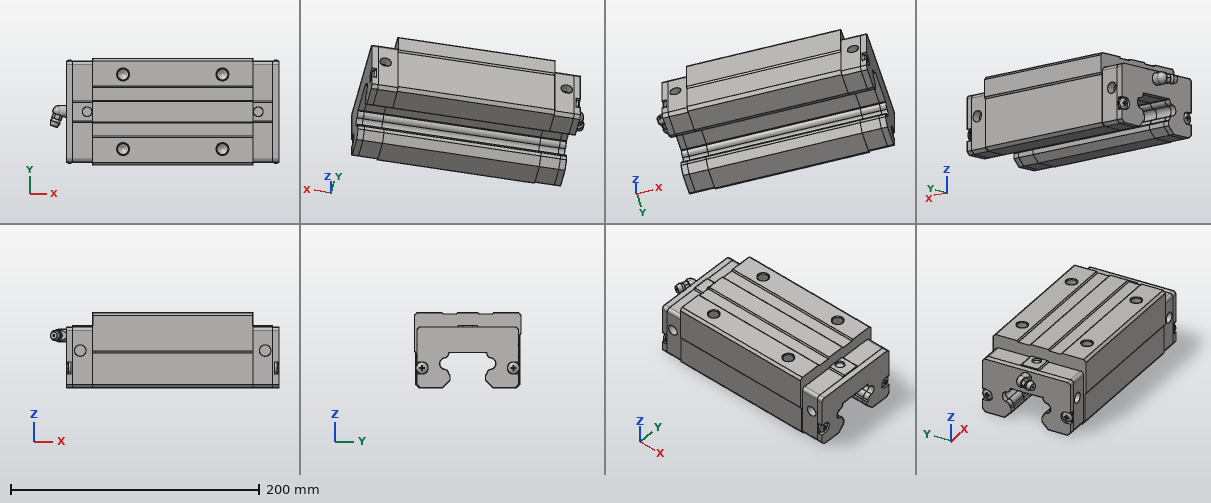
import cadquery as cq
import math


BLOCK_LENGTH = 128.9
BLOCK_HEIGHT = 60.5
UPPER_HALF_WIDTH = 86.0 / 2
LOWER_HALF_WIDTH = 83.8 / 2
TOP_CHAMFER = 2.2
BOTTOM_CHAMFER = 2.8
LEDGE_DROP = 1.5
FRONT_LEDGE_TOP = 29.6
BACK_LEDGE_TOP = 44.0
GROOVE_DEPTH = 1.1
GROOVE_INNER = 8.1
GROOVE_OUTER = 20.8

HOLE_PITCH_X = 79.9
HOLE_PITCH_Y = 60.0
HOLE_RADIUS = 4.5
HOLE_MOUTH_RADIUS = 5.2
HOLE_DEPTH = 16.5
DRILL_POINT_DEPTH = 2.5

CAP_THICKNESS = 16.0
SEAL_THICKNESS = 5.2
CAP_HALF_WIDTH = 81.5 / 2
CAP_HEIGHT = 49.0
CAP_TOP_FILLET = 3.0
PAD_HEIGHT = 1.1
PAD_HALF_WIDTH = 7.5
TOP_PORT_RADIUS = 3.9
TOP_PORT_DEPTH = 1.8
TOP_PORT_INSET = 4.5
SIDE_PORT_RADIUS = 4.6
SIDE_PORT_DEPTH = 7.4
SIDE_PORT_INSET = 10.0
SIDE_PORT_Z = 30.0

RAIL_ROOF = 28.4
ROOF_HALF_WIDTH = 14.5
GROOVE_Z = 19.5
GROOVE_HALF_WIDTH = 22.5
GROOVE_EDGE_Y = 19.3
GROOVE_HALF_MOUTH = 4.5
LAND_RADIUS = 4.0
LIP_HALF_WIDTH = 14.2
LIP_TOP = 10.1
FLARE_TOP = 6.0

SCREW_Y = 36.8
SCREW_Z = 16.0
HEAD_RADIUS = 4.8
HEAD_RIM = 1.8
DOME_HEIGHT = 1.75
POCKET_RADIUS = 5.0
CROSS_LENGTH = 3.7
CROSS_WIDTH = 0.5
CROSS_DEPTH = 1.0

NIPPLE_Z = 42.2
STEM_RADIUS = 10.1 / 2
STEM_LENGTH = 5.9
NIPPLE_ANGLE = 20.0
HEX_ACROSS_CORNERS = 8.0
SEAT_AT = 2.4
HEX_END = 6.3
COLLAR_AT = 8.7
TIP_AT = 12.5
NECK_RADIUS = 3.1
COLLAR_RADIUS = 8.3 / 2
TIP_RADIUS = 5.7 / 2
BORE_RADIUS = 0.65
BORE_DEPTH = 2.8

BLOCK_END = BLOCK_LENGTH / 2
CAP_END = BLOCK_END + CAP_THICKNESS
SEAL_END = CAP_END + SEAL_THICKNESS
POCKET_DEPTH = HEAD_RIM + DOME_HEIGHT


def along_x(profile, start, end):
    """Extrude a closed YZ profile between two X positions."""
    return profile.extrude(end - start).translate((start, 0, 0))


def rail_passage(start, end):
    mouth_top = GROOVE_Z + GROOVE_HALF_MOUTH
    mouth_bottom = GROOVE_Z - GROOVE_HALF_MOUTH
    land_half_width = GROOVE_EDGE_Y - LAND_RADIUS
    land_top = mouth_top + LAND_RADIUS
    land_bottom = mouth_bottom - LAND_RADIUS
    to_arc_middle = LAND_RADIUS * math.sqrt(0.5)
    land_middle_y = GROOVE_EDGE_Y - to_arc_middle
    half = (
        cq.Workplane("YZ")
        .moveTo(0, RAIL_ROOF)
        .lineTo(ROOF_HALF_WIDTH, RAIL_ROOF)
        .lineTo(land_half_width, land_top)
        .threePointArc((land_middle_y, land_top - to_arc_middle), (GROOVE_EDGE_Y, mouth_top))
        .threePointArc((GROOVE_HALF_WIDTH, GROOVE_Z), (GROOVE_EDGE_Y, mouth_bottom))
        .threePointArc((land_middle_y, land_bottom + to_arc_middle), (land_half_width, land_bottom))
        .lineTo(LIP_HALF_WIDTH, LIP_TOP)
        .lineTo(LIP_HALF_WIDTH, FLARE_TOP)
        .lineTo(LIP_HALF_WIDTH + FLARE_TOP, 0)
        .lineTo(0, 0)
        .close()
    )
    passage = along_x(half, start, end)
    return passage.union(passage.mirror("XZ"))


def top_groove():
    """Groove along the +Y half of the mounting face."""
    floor = BLOCK_HEIGHT - GROOVE_DEPTH
    profile = cq.Workplane("YZ").polyline([
        (GROOVE_INNER, BLOCK_HEIGHT),
        (GROOVE_INNER + GROOVE_DEPTH, floor),
        (GROOVE_OUTER - GROOVE_DEPTH, floor),
        (GROOVE_OUTER, BLOCK_HEIGHT),
    ]).close()
    return along_x(profile, -BLOCK_END, BLOCK_END)


def mounting_hole():
    """Blind hole with a countersunk mouth and a conical bottom, axis at the origin."""
    mouth_depth = HOLE_MOUTH_RADIUS - HOLE_RADIUS
    return (
        cq.Workplane("XZ")
        .polyline([
            (0, BLOCK_HEIGHT),
            (HOLE_MOUTH_RADIUS, BLOCK_HEIGHT),
            (HOLE_RADIUS, BLOCK_HEIGHT - mouth_depth),
            (HOLE_RADIUS, BLOCK_HEIGHT - HOLE_DEPTH),
            (0, BLOCK_HEIGHT - HOLE_DEPTH - DRILL_POINT_DEPTH),
        ])
        .close()
        .revolve(360, (0, 0), (0, 1))
    )


def make_block():
    profile = cq.Workplane("YZ").polyline([
        (-LOWER_HALF_WIDTH + BOTTOM_CHAMFER, 0),
        (LOWER_HALF_WIDTH - BOTTOM_CHAMFER, 0),
        (LOWER_HALF_WIDTH, BOTTOM_CHAMFER),
        (LOWER_HALF_WIDTH, BACK_LEDGE_TOP - LEDGE_DROP),
        (UPPER_HALF_WIDTH, BACK_LEDGE_TOP),
        (UPPER_HALF_WIDTH, BLOCK_HEIGHT - TOP_CHAMFER),
        (UPPER_HALF_WIDTH - TOP_CHAMFER, BLOCK_HEIGHT),
        (-UPPER_HALF_WIDTH + TOP_CHAMFER, BLOCK_HEIGHT),
        (-UPPER_HALF_WIDTH, BLOCK_HEIGHT - TOP_CHAMFER),
        (-UPPER_HALF_WIDTH, FRONT_LEDGE_TOP),
        (-LOWER_HALF_WIDTH, FRONT_LEDGE_TOP - LEDGE_DROP),
        (-LOWER_HALF_WIDTH, BOTTOM_CHAMFER),
    ]).close()
    block = along_x(profile, -BLOCK_END, BLOCK_END)
    block = block.cut(rail_passage(-BLOCK_END, BLOCK_END))
    groove = top_groove()
    block = block.cut(groove).cut(groove.mirror("XZ"))
    for x in (-HOLE_PITCH_X / 2, HOLE_PITCH_X / 2):
        for y in (-HOLE_PITCH_Y / 2, HOLE_PITCH_Y / 2):
            block = block.cut(mounting_hole().translate((x, y, 0)))
    return block


def end_plate(start, end):
    """Plate shared by caps and seals: rounded top corners, chamfered feet, rail passage."""
    width = 2 * CAP_HALF_WIDTH
    plate = cq.Workplane("XY").box(end - start, width, CAP_HEIGHT, centered=(False, True, False))
    plate = plate.edges("|X and >Z").fillet(CAP_TOP_FILLET)
    plate = plate.edges("|X and <Z").chamfer(BOTTOM_CHAMFER)
    return plate.translate((start, 0, 0)).cut(rail_passage(start, end))


def make_cap():
    """End cap on the +X end."""
    cap = end_plate(BLOCK_END, CAP_END)
    foot = PAD_HALF_WIDTH + PAD_HEIGHT
    pad_top = CAP_HEIGHT + PAD_HEIGHT
    pad = cq.Workplane("YZ").polyline([
        (-foot, CAP_HEIGHT),
        (foot, CAP_HEIGHT),
        (PAD_HALF_WIDTH, pad_top),
        (-PAD_HALF_WIDTH, pad_top),
    ]).close()
    cap = cap.union(along_x(pad, BLOCK_END, CAP_END))
    top_port = (
        cq.Workplane("XY", origin=(BLOCK_END + TOP_PORT_INSET, 0, pad_top))
        .circle(TOP_PORT_RADIUS)
        .extrude(-TOP_PORT_DEPTH)
    )
    side_port = (
        cq.Workplane("XZ", origin=(BLOCK_END + SIDE_PORT_INSET, -CAP_HALF_WIDTH, SIDE_PORT_Z))
        .circle(SIDE_PORT_RADIUS)
        .extrude(-SIDE_PORT_DEPTH)
    )
    return cap.cut(top_port).cut(side_port).cut(side_port.mirror("XZ"))


def make_seal():
    """End seal on the +X end."""
    seal = end_plate(CAP_END, SEAL_END)
    pocket_floor = SEAL_END - POCKET_DEPTH
    to_side = CAP_HALF_WIDTH - SCREW_Y
    pocket = (
        cq.Workplane("YZ", origin=(pocket_floor, SCREW_Y, SCREW_Z))
        .circle(POCKET_RADIUS)
        .extrude(POCKET_DEPTH)
        .union(
            cq.Workplane("YZ", origin=(pocket_floor, SCREW_Y + to_side / 2, SCREW_Z))
            .rect(to_side, 2 * POCKET_RADIUS)
            .extrude(POCKET_DEPTH)
        )
    )
    return seal.cut(pocket).cut(pocket.mirror("XZ"))


def make_screw():
    """Domed screw head with a cross recess, on the +X, +Y corner."""
    tip_height = POCKET_DEPTH
    dome_radius = (HEAD_RADIUS ** 2 + DOME_HEIGHT ** 2) / (2 * DOME_HEIGHT)
    mid_angle = math.asin(HEAD_RADIUS / dome_radius) / 2
    dome_mid = (
        tip_height - dome_radius * (1 - math.cos(mid_angle)),
        dome_radius * math.sin(mid_angle),
    )
    head = (
        cq.Workplane("XY")
        .lineTo(0, HEAD_RADIUS)
        .lineTo(HEAD_RIM, HEAD_RADIUS)
        .threePointArc(dome_mid, (tip_height, 0))
        .close()
        .revolve(360, (0, 0), (1, 0))
    )
    recess_floor = cq.Workplane("YZ", origin=(tip_height - CROSS_DEPTH, 0, 0))
    cross = (
        recess_floor.rect(CROSS_LENGTH, CROSS_WIDTH).extrude(CROSS_DEPTH)
        .union(recess_floor.rect(CROSS_WIDTH, CROSS_LENGTH).extrude(CROSS_DEPTH))
    )
    return head.cut(cross).translate((SEAL_END - POCKET_DEPTH, SCREW_Y, SCREW_Z))


def make_nipple():
    """Angled grease nipple on the -X seal: stem, ball elbow, hexagon and tapered tip."""
    tilt = ((0, 0, 0), (0, 0, 1), -NIPPLE_ANGLE)
    stem = cq.Workplane("YZ").circle(STEM_RADIUS).extrude(STEM_LENGTH)
    elbow = cq.Workplane("XY").sphere(STEM_RADIUS)
    cutter_size = 4 * STEM_LENGTH
    beyond_seat = (
        cq.Workplane("XZ", origin=(0, -SEAT_AT, 0))
        .rect(cutter_size, cutter_size)
        .extrude(cutter_size)
        .rotate(*tilt)
    )
    hexagon = cq.Workplane("XZ").polygon(6, HEX_ACROSS_CORNERS).extrude(HEX_END)
    tip = (
        cq.Workplane("XY")
        .polyline([
            (0, -HEX_END),
            (NECK_RADIUS, -HEX_END),
            (COLLAR_RADIUS, -COLLAR_AT),
            (TIP_RADIUS, -TIP_AT),
            (BORE_RADIUS, -TIP_AT),
            (BORE_RADIUS, -TIP_AT + BORE_DEPTH),
            (0, -TIP_AT + BORE_DEPTH),
        ])
        .close()
        .revolve(360, (0, 0), (0, 1))
    )
    outlet = hexagon.union(tip).rotate(*tilt)
    nipple = stem.union(elbow).cut(beyond_seat).union(outlet)
    return nipple.translate((-SEAL_END - STEM_LENGTH, 0, NIPPLE_Z))


block = make_block()
nipple = make_nipple()

cap = make_cap()
caps = [cap, cap.mirror("YZ")]

seal = make_seal()
seals = [seal, seal.mirror("YZ")]

screw = make_screw()
screws = []
for end_screw in (screw, screw.mirror("YZ")):
    screws.append(end_screw)
    screws.append(end_screw.mirror("XZ"))

bodies = [block, nipple] + caps + seals + screws
result = cq.Compound.makeCompound([body.val() for body in bodies])